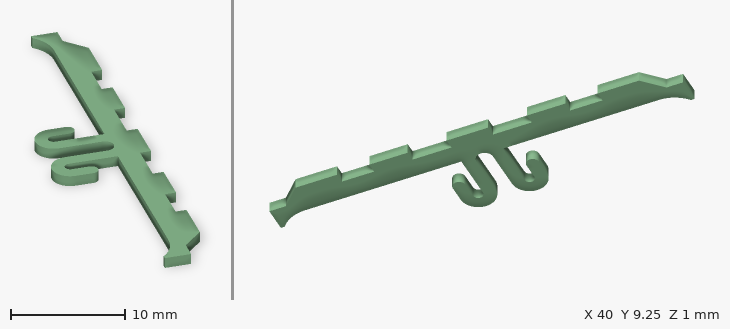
import cadquery as cq
import math

length = 40.0
height = 9.25
thickness = 1.0
half_length = length / 2

bar_bottom = -3.05
crown_half_width = 16.6
notch_depth = 1.0
notch_spans = [(2.0, 5.75), (9.5, 12.6)]

shoulder_y = -1.85
shoulder_inner_x = 18.4
foot_bottom = -4.25
foot_tip_width = 0.35
flare_start_x = 17.1

arm_width = 1.2
center_slot_width = 1.6
center_slot_top = -2.8
hook_gap = 0.95
hook_tip_y = -5.3
slot_radius = center_slot_width / 2
hook_inner_radius = hook_gap / 2
hook_outer_radius = hook_inner_radius + arm_width
hook_center_x = slot_radius + hook_outer_radius
hook_center_y = hook_outer_radius - height


def box(x_min, x_max, y_min, y_max):
    """Full-thickness block between the given limits."""
    return (
        cq.Workplane("XY")
        .moveTo((x_min + x_max) / 2, (y_min + y_max) / 2)
        .rect(x_max - x_min, y_max - y_min)
        .extrude(thickness)
    )


def disc(x, y, radius):
    return cq.Workplane("XY").moveTo(x, y).circle(radius).extrude(thickness)


def half_bar():
    """Right half of the bar, with a flare tangent to its underside."""
    foot_x = half_length - foot_tip_width
    run = foot_x - flare_start_x
    drop = bar_bottom - foot_bottom
    flare_radius = (run**2 + drop**2) / (2 * drop)
    half_angle = math.asin(run / flare_radius) / 2
    flare_mid = (
        flare_start_x + flare_radius * math.sin(half_angle),
        bar_bottom - flare_radius * (1 - math.cos(half_angle)),
    )
    bar = (
        cq.Workplane("XY")
        .moveTo(0, 0)
        .lineTo(crown_half_width, 0)
        .lineTo(shoulder_inner_x, shoulder_y)
        .lineTo(half_length, shoulder_y)
        .lineTo(half_length, foot_bottom)
        .lineTo(foot_x, foot_bottom)
        .threePointArc(flare_mid, (flare_start_x, bar_bottom))
        .lineTo(0, bar_bottom)
        .close()
        .extrude(thickness)
    )
    for inner_x, outer_x in notch_spans:
        bar = bar.cut(box(inner_x, outer_x, -notch_depth, 0))
    return bar


def hook():
    """Right hook: straight arm, U bend and short arm with a round tip."""
    arm_outer_x = slot_radius + arm_width
    hook_outer_x = hook_center_x + hook_outer_radius
    tip_radius = arm_width / 2
    tip_center_y = hook_tip_y - tip_radius
    bend = (
        disc(hook_center_x, hook_center_y, hook_outer_radius)
        .cut(disc(hook_center_x, hook_center_y, hook_inner_radius))
        .cut(box(slot_radius, hook_outer_x, hook_center_y, hook_center_y + hook_outer_radius))
    )
    long_arm = box(slot_radius, arm_outer_x, hook_center_y, bar_bottom)
    short_arm = box(hook_outer_x - arm_width, hook_outer_x, hook_center_y, tip_center_y)
    tip = disc(hook_outer_x - tip_radius, tip_center_y, tip_radius)
    return bend.union(long_arm).union(short_arm).union(tip)


def center_slot():
    """Round-topped gap between the hooks, reaching slightly into the bar."""
    arc_center_y = center_slot_top - slot_radius
    gap = box(-slot_radius, slot_radius, -height, arc_center_y)
    return gap.union(disc(0, arc_center_y, slot_radius))


def slot_shoulders():
    """Material between the long arms that surrounds the round slot top."""
    return box(0, slot_radius, center_slot_top - slot_radius, bar_bottom)


half = half_bar().union(hook()).union(slot_shoulders())
result = half.union(half.mirror("YZ")).cut(center_slot()).clean()